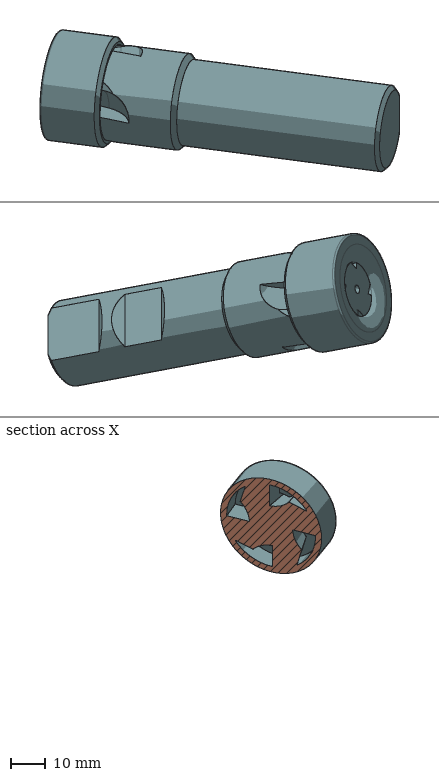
import cadquery as cq
import math

TOTAL_LENGTH = 100.0
HEAD_RADIUS = 16.0
HEAD_LENGTH = 17.5
HEAD_REAR_CHAMFER = 1.2
HEAD_FRONT_FILLET = 0.5
BODY_RADIUS = 14.0
BODY_END = 39.9
HEAD_OVERLAP = 0.1
HEAD_BORE_RADIUS = BODY_RADIUS - HEAD_OVERLAP
SHANK_RADIUS = 12.5
SHANK_END_CHAMFER = 1.2

MOUTH_OUTER_RADIUS = 12.8
MOUTH_BORE_RADIUS = 7.9
FACE_DEPTH = 2.0
CENTER_HOLE_RADIUS = 1.2
CENTER_CONE_ANGLE = 60.0

FLUTE_COUNT = 4
FLUTE_RADIUS = 9.0
FLUTE_FLOOR = 5.9
FLUTE_END = 26.5
RAKE_ANGLE = 4.8
RAKE_OFFSET = 0.5
FLUTE_SLOPE = 5.5
CHANNEL_START = 4.5

RELIEF_ANGLE = 16.0
RELIEF_SLOPE = 14.5
RELIEF_END = 21.9

FLAT_HEIGHT = 9.7
CLAMP_CENTER_FROM_END = 32.0
CLAMP_WIDTH = 12.2
END_FLAT_LENGTH = 17.1


def turned(profile):
    """Solid turned from a half profile around the X axis."""
    return profile.close().revolve(360, (0, 0, 0), (1, 0, 0))


def turned_core():
    """Body and shank, reaching forward to the flat end face in the mouth."""
    shoulder = BODY_RADIUS - SHANK_RADIUS
    return turned(
        cq.Workplane("XY")
        .moveTo(FACE_DEPTH, 0)
        .lineTo(FACE_DEPTH, BODY_RADIUS)
        .lineTo(BODY_END - shoulder, BODY_RADIUS)
        .lineTo(BODY_END, SHANK_RADIUS)
        .lineTo(TOTAL_LENGTH - SHANK_END_CHAMFER, SHANK_RADIUS)
        .lineTo(TOTAL_LENGTH, SHANK_RADIUS - SHANK_END_CHAMFER)
        .lineTo(TOTAL_LENGTH, 0)
    )


def turned_head():
    """Ring around the front of the core, with a lip that forms the rounded mouth."""
    return turned(
        cq.Workplane("XY")
        .moveTo(CHANNEL_START, MOUTH_BORE_RADIUS)
        .lineTo(FACE_DEPTH, MOUTH_BORE_RADIUS)
        .ellipseArc(FACE_DEPTH, MOUTH_OUTER_RADIUS - MOUTH_BORE_RADIUS, 180, 270, sense=-1)
        .lineTo(0, HEAD_RADIUS - HEAD_FRONT_FILLET)
        .radiusArc((HEAD_FRONT_FILLET, HEAD_RADIUS), HEAD_FRONT_FILLET)
        .lineTo(HEAD_LENGTH - HEAD_REAR_CHAMFER, HEAD_RADIUS)
        .lineTo(HEAD_LENGTH, HEAD_RADIUS - HEAD_REAR_CHAMFER)
        .lineTo(HEAD_LENGTH, HEAD_BORE_RADIUS)
        .lineTo(CHANNEL_START, HEAD_BORE_RADIUS)
    )


def flute():
    """Ball-ended groove on the -Y side, kept above the sloping rake face."""
    ball_x = FLUTE_END - FLUTE_RADIUS
    floor_rise = ball_x * math.tan(math.radians(FLUTE_SLOPE))
    ball_y = -(FLUTE_FLOOR + FLUTE_RADIUS + floor_rise)
    ball_z = RAKE_OFFSET - ball_x * math.tan(math.radians(RAKE_ANGLE))
    groove = (
        turned(
            cq.Workplane("XY")
            .moveTo(-FLUTE_END, 0)
            .lineTo(-FLUTE_END, FLUTE_RADIUS)
            .lineTo(0, FLUTE_RADIUS)
            .radiusArc((FLUTE_RADIUS, 0), FLUTE_RADIUS)
        )
        .rotate((0, 0, 0), (0, 0, 1), -FLUTE_SLOPE)
        .translate((ball_x, ball_y, ball_z))
    )
    block = 3 * FLUTE_END
    above_rake = (
        cq.Workplane("XY")
        .box(block, block, block, centered=(True, True, False))
        .rotate((0, 0, 0), (0, 1, 0), RAKE_ANGLE)
        .translate((0, 0, RAKE_OFFSET))
    )
    relief = (
        cq.Workplane("XZ")
        .rect(block, block)
        .extrude(block)
        .rotate((0, 0, 0), (0, 0, 1), -RELIEF_SLOPE)
        .translate((RELIEF_END, -BODY_RADIUS, 0))
        .rotate((0, 0, 0), (1, 0, 0), -RELIEF_ANGLE)
    )
    return groove.union(relief).intersect(above_rake)


def cut_flutes(core):
    """Core with all flutes cut around the axis."""
    cutter = flute()
    for index in range(FLUTE_COUNT):
        core = core.cut(cutter.rotate((0, 0, 0), (1, 0, 0), index * 360 / FLUTE_COUNT))
    return core


def center_hole():
    """Conical centre mark in the end face."""
    depth = CENTER_HOLE_RADIUS / math.tan(math.radians(CENTER_CONE_ANGLE / 2))
    cone = cq.Solid.makeCone(
        CENTER_HOLE_RADIUS, 0, depth, pnt=cq.Vector(FACE_DEPTH, 0, 0), dir=cq.Vector(1, 0, 0)
    )
    return cq.Workplane(obj=cone)


def clamping_flats():
    """Middle flat with two sloping ends, and a flat running out at the shank end."""
    depth = SHANK_RADIUS - FLAT_HEIGHT
    clamp_start = TOTAL_LENGTH - CLAMP_CENTER_FROM_END - CLAMP_WIDTH / 2
    clamp_end = clamp_start + CLAMP_WIDTH
    end_flat_start = TOTAL_LENGTH - END_FLAT_LENGTH
    clamp = [
        (clamp_start - depth, SHANK_RADIUS),
        (clamp_start, FLAT_HEIGHT),
        (clamp_end, FLAT_HEIGHT),
        (clamp_end + depth, SHANK_RADIUS),
    ]
    end_flat = [
        (end_flat_start - depth, SHANK_RADIUS),
        (end_flat_start, FLAT_HEIGHT),
        (TOTAL_LENGTH, FLAT_HEIGHT),
        (TOTAL_LENGTH, SHANK_RADIUS),
    ]
    cutter = cq.Workplane("XY").polyline(clamp).close().extrude(SHANK_RADIUS, both=True)
    return cutter.union(cq.Workplane("XY").polyline(end_flat).close().extrude(SHANK_RADIUS, both=True))


core = cut_flutes(turned_core()).cut(center_hole()).cut(clamping_flats())
result = core.union(turned_head())